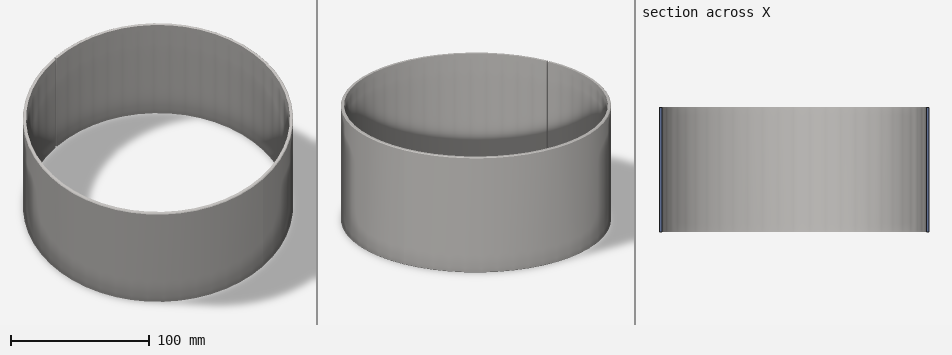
import cadquery as cq

outer_diameter = 195.0
wall = 2.3
height = 90.0
rim_size = 0.49
gap_width = 1.5
gap_start = 0.0

outer_radius = outer_diameter / 2
inner_radius = outer_radius - wall
gap_depth = 2 * wall


def make_band():
    """Thin-walled ring standing on the XY plane, with its outer rims bevelled."""
    disc = cq.Workplane("XY").circle(outer_radius).extrude(height)
    disc = disc.faces("<Z or >Z").edges().chamfer(rim_size)
    bore = cq.Workplane("XY").circle(inner_radius).extrude(height)
    return disc.cut(bore)


def make_gap():
    """Full-height slot through the wall on the -X side."""
    slot = cq.Workplane("XY").box(gap_depth, gap_width, height, centered=False)
    return slot.translate((-outer_radius, gap_start, 0))


result = make_band().cut(make_gap())